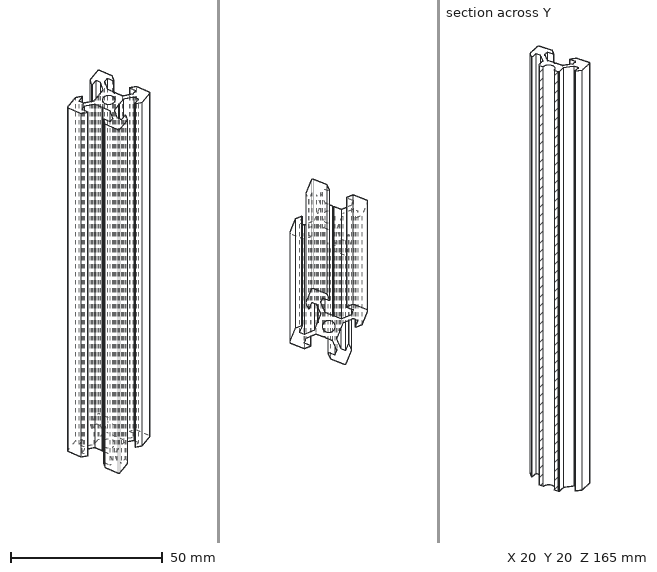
import cadquery as cq
import math

width = 20.0
length = 165.0
corner_radius = 0.5
bore_diameter = 4.1

mouth_width = 9.2
throat_width = 6.1
lip_thickness = 1.8
cavity_half = 5.5
core_half = 4.0
rib_thickness = 1.5

groove_half = 0.25
groove_depth = 0.25

half = width / 2
mouth_half = mouth_width / 2
throat_half = throat_width / 2
lip_back = half - lip_thickness
taper_depth = mouth_half - throat_half
rib_offset = rib_thickness / math.sqrt(2)
cavity_floor_half = core_half - rib_offset


def slot():
    """T-slot opening on the +Y face, with a V groove in its floor."""
    right_side = [
        (groove_half, core_half),
        (cavity_floor_half, core_half),
        (cavity_half, cavity_half + rib_offset),
        (cavity_half, lip_back),
        (throat_half, lip_back),
        (throat_half, half - taper_depth),
        (mouth_half, half),
    ]
    left_side = [(-x, y) for x, y in reversed(right_side)]
    outline = [(0, core_half - groove_depth)] + right_side + left_side
    return cq.Workplane("XY").polyline(outline).close().extrude(length)


result = cq.Workplane("XY").rect(width, width).extrude(length).edges("|Z").fillet(corner_radius)

for angle in (0, 90, 180, 270):
    result = result.cut(slot().rotate((0, 0, 0), (0, 0, 1), angle))

bore = cq.Workplane("XY").circle(bore_diameter / 2).extrude(length)
result = result.cut(bore)